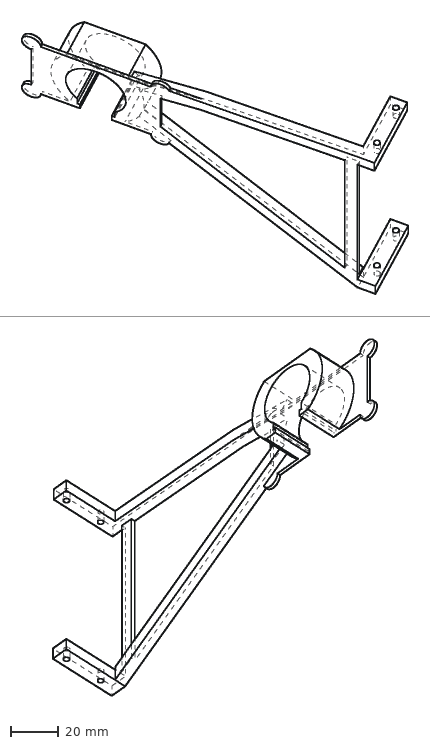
import cadquery as cq

plate_length = 60.0
plate_height = 35.0
plate_thickness = 1.6
ear_radius = 4.5

ring_radius = 21.7
ring_depth = 20.0
ring_top = 33.9
bore_radius = 14.0
bore_x = plate_length / 2
bore_z = plate_height / 2
mouth_width = 17.5
lip_gap = 14.8
lip_height = 3.0

bar = 6.0
post_depth = 2.0
frame_top = 39.0
frame_bottom = -57.7
post_right = 151.7
post_left = post_right - bar
upper_arm_slope = 0.0225
arm_bend_x = 78.6
upper_root_x = 45.2
upper_root_top = 32.9
lower_arm_slope = -0.64
lower_root_x = 47.7
lower_arm_height = 7.4

foot_depth = 34.4
upper_foot_right = 159.5
lower_foot_right = 160.0
foot_hole_diameter = 2.6
foot_hole_x = 156.3
foot_hole_ys = (10.0, 30.0)


def box(x0, x1, y0, y1, z0, z1):
    """Box spanning the given limits."""
    return cq.Workplane("XY").box(x1 - x0, y1 - y0, z1 - z0, centered=False).translate((x0, y0, z0))


def profile(points, depth):
    """Closed XZ outline extruded from the front face towards +Y."""
    return cq.Workplane("XZ").polyline(points).close().extrude(-depth)


def disc(x, z, radius, depth):
    """Cylinder along Y standing on the front face."""
    return cq.Workplane("XZ").center(x, z).circle(radius).extrude(-depth)


def clip_plate():
    plate = box(0, plate_length, 0, plate_thickness, 0, plate_height)
    for x in (0, plate_length):
        for z in (0, plate_height):
            plate = plate.union(disc(x, z, ear_radius, plate_thickness))
    return plate


def snap_ring():
    band = box(bore_x - ring_radius, bore_x + ring_radius, 0, ring_depth, 0, ring_top)
    return disc(bore_x, bore_z, ring_radius, ring_depth).intersect(band)


def snap_opening():
    """Bore with a mouth through the bottom, narrowed by two lips."""
    mouth = box(bore_x - mouth_width / 2, bore_x + mouth_width / 2, 0, ring_depth, lip_height, bore_z)
    gap = box(bore_x - lip_gap / 2, bore_x + lip_gap / 2, 0, ring_depth, 0, bore_z)
    return disc(bore_x, bore_z, bore_radius, ring_depth).union(mouth).union(gap)


def upper_edge(x):
    """Height of the straight top edge shared by the upper arm and its web."""
    return frame_top - upper_arm_slope * (post_right - x)


def upper_arm():
    """Bent bar from the ring to the post, with a thin straight web in front of the bend."""
    bend_top = upper_edge(arm_bend_x)
    bent_bar = profile(
        [
            (upper_root_x, upper_root_top),
            (arm_bend_x, bend_top),
            (post_right, frame_top),
            (post_right, frame_top - bar),
            (arm_bend_x, bend_top - bar),
            (upper_root_x, upper_root_top - bar),
        ],
        bar,
    )
    web = profile(
        [
            (plate_length, upper_edge(plate_length)),
            (arm_bend_x, bend_top),
            (arm_bend_x, bend_top - bar),
            (plate_length, plate_height - bar),
        ],
        plate_thickness,
    )
    return bent_bar.union(web)


def lower_arm():
    """Sloping bar from the ring to the foot of the post."""
    root_bottom = frame_bottom - lower_arm_slope * (post_right - lower_root_x)
    return profile(
        [
            (lower_root_x, root_bottom),
            (post_right, frame_bottom),
            (post_right, frame_bottom + lower_arm_height),
            (lower_root_x, root_bottom + lower_arm_height),
        ],
        bar,
    )


def foot(right, bottom):
    """Mounting foot with two vertical screw holes."""
    body = box(post_right, right, 0, foot_depth, bottom, bottom + bar)
    for y in foot_hole_ys:
        hole = cq.Workplane("XY").center(foot_hole_x, y).circle(foot_hole_diameter / 2).extrude(bar)
        body = body.cut(hole.translate((0, 0, bottom)))
    return body


post = box(post_left, post_right, 0, post_depth, frame_bottom + lower_arm_height, frame_top - bar)

result = (
    clip_plate()
    .union(snap_ring())
    .union(upper_arm())
    .union(lower_arm())
    .union(post)
    .union(foot(upper_foot_right, frame_top - bar))
    .union(foot(lower_foot_right, frame_bottom))
    .cut(snap_opening())
)